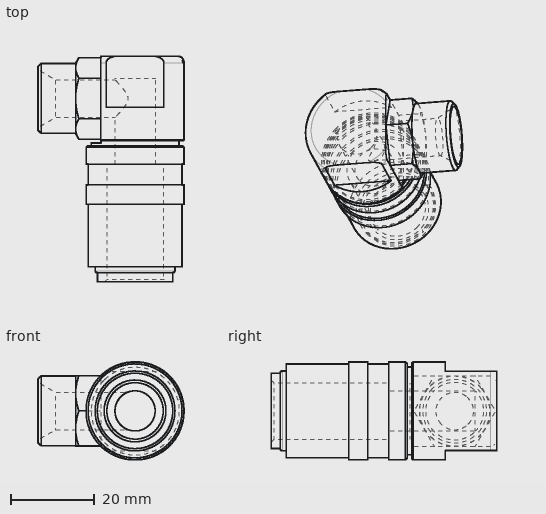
import cadquery as cq
import math

NOSE_END = 2.15
RING_END = 3.55
BODY_END = 18.5
FRONT_COLLAR_END = 23.15
WAIST_END = 28.15
REAR_COLLAR_END = 32.55
ELBOW_START = 33.7
LENGTH = 54.0

OUTER_DIAMETER = 23.5
OVERALL_WIDTH = 35.0

NOSE_RADIUS = 9.0
RING_RADIUS = 9.55
BODY_RADIUS = 11.25
OUTER_RADIUS = OUTER_DIAMETER / 2
NECK_RADIUS = 10.55
RING_FILLET = 0.5
EDGE_CHAMFER = 0.45
ELBOW_CHAMFER = 0.25

BACK_FILLET = 1.6
HEAD_FLAT_START = 41.7
HEAD_FLAT_HEIGHT = 9.5
SIDE_FLAT_START = 33.2
SIDE_FLAT_X = -8.15

PORT_Y = 43.85
PORT_END_X = OUTER_RADIUS - OVERALL_WIDTH
PORT_RADIUS = 8.35
PORT_CHAMFER = 0.75
HEX_END_X = -14.2
HEX_FLATS = 16.9
HEX_CHAMFER_ANGLE = 30
PORT_MOUTH_RADIUS = 6.9
PORT_BORE_RADIUS = 4.5
PORT_CONE_ANGLE = 30

SOCKET_RADIUS = 6.75
SOCKET_CHAMFER = 0.65
SOCKET_DEPTH = WAIST_END
BORE_RADIUS = 4.8
BORE_END = PORT_Y + BORE_RADIUS


def cylinder_y(radius, start, end):
    """Solid cylinder on the main axis between two Y stations."""
    return cq.Workplane("XZ", origin=(0, start, 0)).circle(radius).extrude(start - end)


def port_plane(x):
    """Plane across the port axis whose normal points out of the port."""
    return cq.Workplane(cq.Plane(origin=(x, PORT_Y, 0), xDir=(0, 1, 0), normal=(-1, 0, 0)))


def make_sleeve():
    ring = cylinder_y(RING_RADIUS, NOSE_END, RING_END).faces("<Y").edges().fillet(RING_FILLET)
    rear_collar = cylinder_y(OUTER_RADIUS, WAIST_END, REAR_COLLAR_END)
    rear_collar = rear_collar.faces(">Y").edges().chamfer(EDGE_CHAMFER)
    return (
        cylinder_y(NOSE_RADIUS, 0, RING_END)
        .union(ring)
        .union(cylinder_y(BODY_RADIUS, RING_END, REAR_COLLAR_END - EDGE_CHAMFER))
        .union(cylinder_y(OUTER_RADIUS, BODY_END, FRONT_COLLAR_END))
        .union(rear_collar)
    )


def make_head():
    head = cylinder_y(OUTER_RADIUS, ELBOW_START, LENGTH)
    head = head.faces(">Y").edges().fillet(BACK_FILLET)
    head = head.faces("<Y").edges().chamfer(ELBOW_CHAMFER)
    head = head.union(cylinder_y(NECK_RADIUS, REAR_COLLAR_END, ELBOW_START))
    width = 2 * OUTER_RADIUS
    flat_length = LENGTH - HEAD_FLAT_START
    for side in (1, -1):
        waste = cq.Workplane("XY").box(width, flat_length, width).translate(
            (0, HEAD_FLAT_START + flat_length / 2, side * (HEAD_FLAT_HEIGHT + width / 2))
        )
        head = head.cut(waste)
    side_length = LENGTH - SIDE_FLAT_START
    waste = cq.Workplane("XY").box(width, side_length, width).translate(
        (SIDE_FLAT_X - width / 2, SIDE_FLAT_START + side_length / 2, 0)
    )
    return head.cut(waste)


def make_port():
    hex_length = SIDE_FLAT_X - HEX_END_X
    hex_corners = HEX_FLATS / math.cos(math.pi / 6)
    nut = port_plane(SIDE_FLAT_X).polygon(6, hex_corners).extrude(hex_length)
    corner_trim = (hex_corners - HEX_FLATS) / 2
    trim_depth = corner_trim * math.tan(math.radians(HEX_CHAMFER_ANGLE))
    blank = port_plane(SIDE_FLAT_X).circle(hex_corners / 2).extrude(hex_length)
    blank = blank.faces("<X").edges().chamfer(trim_depth, corner_trim)
    spigot = port_plane(0).circle(PORT_RADIUS).extrude(-PORT_END_X)
    spigot = spigot.faces("<X").edges().chamfer(PORT_CHAMFER)
    return nut.intersect(blank).union(spigot)


def make_bores():
    socket = cylinder_y(SOCKET_RADIUS, 0, SOCKET_DEPTH)
    mouth_radius = SOCKET_RADIUS + SOCKET_CHAMFER
    mouth = (
        cq.Workplane("XY")
        .polyline([(0, 0), (mouth_radius, 0), (SOCKET_RADIUS, SOCKET_CHAMFER), (0, SOCKET_CHAMFER)])
        .close()
        .revolve(360, (0, 0, 0), (0, 1, 0))
    )
    main_bore = cylinder_y(BORE_RADIUS, 0, BORE_END)
    port_bore = port_plane(0).circle(PORT_BORE_RADIUS).extrude(-PORT_END_X)
    cone_depth = (PORT_MOUTH_RADIUS - PORT_BORE_RADIUS) / math.tan(math.radians(PORT_CONE_ANGLE))
    seat = (
        port_plane(PORT_END_X + cone_depth)
        .circle(PORT_BORE_RADIUS)
        .workplane(offset=cone_depth)
        .circle(PORT_MOUTH_RADIUS)
        .loft(ruled=True)
    )
    return socket.union(mouth).union(main_bore).union(port_bore).union(seat)


result = make_sleeve().union(make_head()).union(make_port()).cut(make_bores())